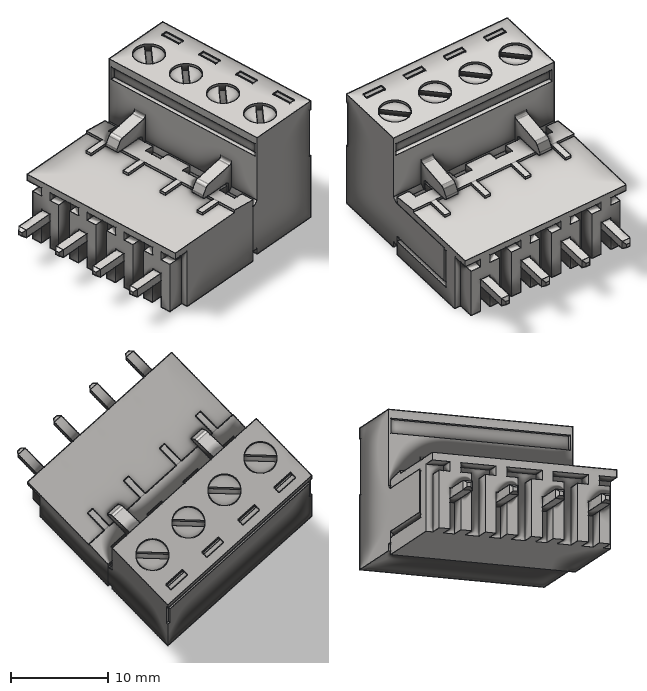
import cadquery as cq


poles = 4
pitch = 5.08
width = poles * pitch
half_width = width / 2
overall_height = 15.61
overall_length = 25.08
pole_positions = [(i - (poles - 1) / 2) * pitch for i in range(poles)]

plug_depth = 8.37
plug_bottom = 0.55
tongue_bottom = 1.28
tongue_top = 7.06
tongue_end = 17.36
neck_chamfer = 0.46
tongue_edge_chamfer = 1.2

label_groove_width = 19.74
label_groove_bottom = 13.09
label_groove_top = 14.68
label_groove_depth = 0.5

rear_relief_bottom = 8.52
rear_relief_top = 14.47
rear_relief_depth = 0.2
rear_pad_top = 13.46
rear_pad_margin = 0.3

screw_diameter = 3.4
screw_from_rear = 5.03
screw_recess = 0.3
screw_slot_width = 0.67
screw_slot_depth = 0.6
screw_slot_angle = -45

window_width = 2.35
window_rear = 0.99
window_step = 1.47
window_front = 1.76
window_step_depth = 0.15
window_depth = 0.65

latch_width = 1.5
latch_offset = 5.91
latch_root_top = 10.52
latch_shoulder_reach = 12.2
latch_shoulder_height = 9.85
latch_tip_reach = 13.1
latch_underside = 8.42
latch_root_fillet = 0.4
latch_inner_fillet = 0.4
latch_shoulder_fillet = 0.55
latch_tip_fillet = 0.32

header_rear = 9.0
header_front = 21.12
header_height = 7.95

ramp_end = 11.89
ramp_height = 8.26
rib_width = 0.7
rib_end = 14.42
notch_width = 2.04
notch_end = 10.18

cavity_end = 17.72
side_wall = 0.6
side_window_bottom = 1.83
side_window_top = 6.86

front_recess_start = 19.27
front_recess_top = 7.14
foot_top = 6.13
foot_width = 3.58
foot_stem_width = 1.2
pin_slot_top = 4.36

pin_size = 1.0
pin_height = 3.8
pin_tip_length = 0.38
pin_tip_size = 0.45
collar_diameter = 1.6


def block(x_min, x_max, depth_min, depth_max, z_min, z_max):
    """Box given by its X range, its distances in front of the rear face and its Z range."""
    return (
        cq.Workplane("XY")
        .box(x_max - x_min, depth_max - depth_min, z_max - z_min, centered=False)
        .translate((x_min, -depth_max, z_min))
    )


def centered_block(x, size_x, depth_min, depth_max, z_min, z_max):
    """Box centred at x along the pole row."""
    return block(x - size_x / 2, x + size_x / 2, depth_min, depth_max, z_min, z_max)


def side_profile(points, x_min, x_max):
    """Prism along X of an outline given as (distance from rear face, Z) points."""
    outline = [(-depth, z) for depth, z in points]
    return (
        cq.Workplane("YZ")
        .workplane(offset=x_min)
        .polyline(outline)
        .close()
        .extrude(x_max - x_min)
    )


def plug_housing():
    """Upright terminal housing with a short full-width neck at its front."""
    neck_start = plug_depth + neck_chamfer
    outline = [
        (0, plug_bottom),
        (plug_depth, plug_bottom),
        (plug_depth, tongue_bottom),
        (header_rear, tongue_bottom),
        (header_rear, tongue_top),
        (neck_start, tongue_top),
        (plug_depth, tongue_top + neck_chamfer),
        (plug_depth, overall_height),
        (0, overall_height),
    ]
    return side_profile(outline, -half_width, half_width)


def tongue():
    """Plug end that fills the header cavity, flush with the header's open -X side."""
    body = block(-half_width, half_width - side_wall, header_rear, tongue_end, tongue_bottom, tongue_top)
    return body.edges("|Y and <Z and <X").chamfer(tongue_edge_chamfer)


def latch(x):
    """Hooked arm that reaches from the housing over the header's ramp."""
    root = plug_depth + neck_chamfer
    arm = side_profile(
        [
            (plug_depth, tongue_top + neck_chamfer),
            (root, tongue_top),
            (root, latch_underside),
            (latch_tip_reach, latch_underside),
            (latch_shoulder_reach, latch_shoulder_height),
            (plug_depth, latch_root_top),
        ],
        x - latch_width / 2,
        x + latch_width / 2,
    )

    def corner(depth, z):
        return cq.selectors.NearestToPointSelector((x, -depth, z))

    arm = arm.edges(corner(root, latch_underside)).fillet(latch_inner_fillet)
    arm = arm.edges(corner(latch_shoulder_reach, latch_shoulder_height)).fillet(latch_shoulder_fillet)
    return arm.edges(corner(latch_tip_reach, latch_underside)).fillet(latch_tip_fillet)


def latch_root_edge(x):
    """Selector for the inside edge where a latch leaves the housing."""
    return cq.selectors.NearestToPointSelector((x, -plug_depth, latch_root_top))


def rear_relief():
    """Shallow relief across the rear face that leaves a raised pad in its lower part."""
    relief = block(-half_width, half_width, 0, rear_relief_depth, rear_relief_bottom, rear_relief_top)
    pad_width = width - 2 * rear_pad_margin
    pad = centered_block(0, pad_width, 0, rear_relief_depth, rear_relief_bottom, rear_pad_top)
    return relief.cut(pad)


def screw_cut(x):
    """Recess above a clamping screw together with the screw's driver slot."""
    recess = cq.Workplane("XY").circle(screw_diameter / 2).extrude(-screw_recess)
    slot_depth = screw_recess + screw_slot_depth
    slot = (
        cq.Workplane("XY")
        .rect(screw_diameter, screw_slot_width)
        .extrude(-slot_depth)
        .rotate((0, 0, 0), (0, 0, 1), screw_slot_angle)
    )
    slot = slot.intersect(cq.Workplane("XY").circle(screw_diameter / 2).extrude(-slot_depth))
    return recess.union(slot).translate((x, -screw_from_rear, overall_height))


def window_cut(x):
    """Small window behind a screw, shallow at the rear and sloping down to its front wall."""
    return side_profile(
        [
            (window_rear, overall_height),
            (window_rear, overall_height - window_step_depth),
            (window_step, overall_height - window_step_depth),
            (window_front, overall_height - window_depth),
            (window_front, overall_height),
        ],
        x - window_width / 2,
        x + window_width / 2,
    )


def make_plug():
    plug = plug_housing().union(tongue())
    for x in (-latch_offset, latch_offset):
        plug = plug.union(latch(x))
        plug = plug.edges(latch_root_edge(x)).fillet(latch_root_fillet)
    plug = plug.cut(
        centered_block(
            0,
            label_groove_width,
            plug_depth - label_groove_depth,
            plug_depth,
            label_groove_bottom,
            label_groove_top,
        )
    )
    plug = plug.cut(rear_relief())
    for x in pole_positions:
        plug = plug.cut(screw_cut(x)).cut(window_cut(x))
    return plug


def header_shell():
    """Header block whose top ramps up from the rear edge to the latching step."""
    return side_profile(
        [
            (header_rear, 0),
            (header_front, 0),
            (header_front, header_height),
            (ramp_end, header_height),
            (ramp_end, ramp_height),
            (header_rear, header_height),
        ],
        -half_width,
        half_width,
    )


def cavity():
    """Socket for the tongue, open at the rear and through the -X side wall."""
    inner = half_width - side_wall
    socket = block(-inner, inner, header_rear, cavity_end, tongue_bottom, tongue_top)
    window = block(-half_width, -inner, header_rear, cavity_end, side_window_bottom, side_window_top)
    window_head = block(-half_width, -inner, header_rear, tongue_end, side_window_top, tongue_top)
    return socket.union(window).union(window_head)


def foot(x):
    """Slotted foot around a pin, hung from the top plate by a narrow stem."""
    body = centered_block(x, foot_width, front_recess_start, header_front, 0, foot_top)
    stem = centered_block(x, foot_stem_width, front_recess_start, header_front, foot_top, front_recess_top)
    slot = centered_block(x, foot_stem_width, front_recess_start, header_front, 0, pin_slot_top)
    return body.union(stem).cut(slot)


def pin(x):
    """Square solder pin with a tapered tip."""
    shaft_end = overall_length - pin_tip_length
    z_min = pin_height - pin_size / 2
    z_max = pin_height + pin_size / 2
    shaft = centered_block(x, pin_size, cavity_end, shaft_end, z_min, z_max)
    tip = (
        cq.Workplane("XZ", origin=(x, -shaft_end, pin_height))
        .rect(pin_size, pin_size)
        .workplane(offset=pin_tip_length)
        .rect(pin_tip_size, pin_tip_size)
        .loft()
    )
    return shaft.union(tip)


def collar(x):
    """Round boss behind a pin that spaces the tongue from the cavity wall."""
    return (
        cq.Workplane("XZ", origin=(x, -tongue_end, pin_height))
        .circle(collar_diameter / 2)
        .extrude(cavity_end - tongue_end)
    )


def make_header():
    header = header_shell().cut(cavity())
    header = header.cut(
        block(-half_width, half_width, front_recess_start, header_front, 0, front_recess_top)
    )
    for x in pole_positions:
        rib = centered_block(x, rib_width, ramp_end, rib_end, header_height, ramp_height)
        notch = centered_block(x, notch_width, header_rear, notch_end, tongue_top, ramp_height)
        header = header.union(foot(x)).union(rib).cut(notch)
        header = header.union(collar(x)).union(pin(x))
    return header


plug = make_plug()
header = make_header()

result = cq.Compound.makeCompound([plug.val(), header.val()])